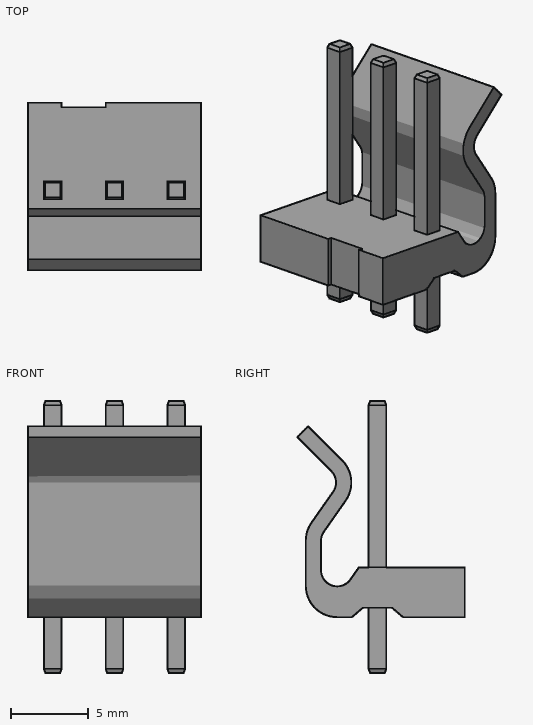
import cadquery as cq
import math

width = 11.12
back_y = 5.6
base_height = 3.2

channel_depth = 0.61
channel_roof_half = 0.92
channel_mouth_half = 1.64

notch_left = -3.39
notch_right = -0.58
notch_depth = 0.28

strip = 1.0
inner_radius = 1.03
outer_radius = inner_radius + strip
wall_front_y = -4.6
wall_top_z = 4.9
leg_length = 2.43
leg_angle = 35
tip_angle = 45
tip_front_y = -5.15
trough_bottom_z = 1.99

pin_count = 3
pin_pitch = 3.96
pin_side = 1.15
pin_length = 17.45
pin_bottom_z = -3.58
pin_end_height = 0.26
pin_end_inset = 0.1


def around(center, radius, degrees):
    """Point on a circle in the YZ plane, measured from +Y towards +Z."""
    angle = math.radians(degrees)
    return (center[0] + radius * math.cos(angle), center[1] + radius * math.sin(angle))


def make_housing():
    bend_y = wall_front_y + outer_radius
    lower_bend = (bend_y, wall_top_z)
    trough = (bend_y, trough_bottom_z + inner_radius)
    lower_end = 180 - leg_angle
    lower_mid = 180 - leg_angle / 2

    leg_start = around(lower_bend, outer_radius, lower_end)
    leg_end = around(leg_start, leg_length, 90 - leg_angle)
    upper_bend = around(leg_end, inner_radius, lower_end)
    upper_start = -leg_angle
    upper_mid = (tip_angle - leg_angle) / 2
    upper_end = tip_angle

    tip_start = around(upper_bend, inner_radius, upper_end)
    tip_length = (tip_start[0] - tip_front_y) / math.sin(math.radians(tip_angle))
    tip_front = around(tip_start, tip_length, 90 + tip_angle)
    tip_back = around(tip_front, strip, tip_angle)

    slope_end = around(trough, inner_radius, -leg_angle)
    slope_rise = base_height - slope_end[1]
    slope_top_y = slope_end[0] + slope_rise * math.tan(math.radians(leg_angle))

    profile = (
        cq.Workplane("YZ", origin=(-width / 2, 0, 0))
        .moveTo(back_y, 0)
        .lineTo(channel_mouth_half, 0)
        .lineTo(channel_roof_half, channel_depth)
        .lineTo(-channel_roof_half, channel_depth)
        .lineTo(-channel_mouth_half, 0)
        .lineTo(bend_y, 0)
        .threePointArc(around((bend_y, outer_radius), outer_radius, 225), (wall_front_y, outer_radius))
        .lineTo(wall_front_y, wall_top_z)
        .threePointArc(around(lower_bend, outer_radius, lower_mid), leg_start)
        .lineTo(*leg_end)
        .threePointArc(around(upper_bend, inner_radius, upper_mid), tip_start)
        .lineTo(*tip_front)
        .lineTo(*tip_back)
        .lineTo(*around(upper_bend, outer_radius, upper_end))
        .threePointArc(
            around(upper_bend, outer_radius, upper_mid),
            around(upper_bend, outer_radius, upper_start),
        )
        .lineTo(*around(lower_bend, inner_radius, lower_end))
        .threePointArc(
            around(lower_bend, inner_radius, lower_mid),
            around(lower_bend, inner_radius, 180),
        )
        .lineTo(*around(trough, inner_radius, 180))
        .threePointArc(around(trough, inner_radius, 270), slope_end)
        .lineTo(slope_top_y, base_height)
        .lineTo(back_y, base_height)
        .close()
    )
    return profile.extrude(width)


def make_notch():
    return cq.Workplane("XY").box(
        notch_right - notch_left, notch_depth, base_height, centered=False
    ).translate((notch_left, back_y - notch_depth, 0))


def make_pin(x):
    """Square pin with a tapered frustum at each end."""
    tip_side = pin_side - 2 * pin_end_inset
    shank_length = pin_length - 2 * pin_end_height
    shank_bottom_z = pin_bottom_z + pin_end_height
    pin = (
        cq.Workplane("XY", origin=(x, 0, shank_bottom_z))
        .rect(pin_side, pin_side)
        .extrude(shank_length)
    )
    for end in ("<Z", ">Z"):
        taper = (
            pin.faces(end)
            .workplane()
            .rect(pin_side, pin_side)
            .workplane(offset=pin_end_height)
            .rect(tip_side, tip_side)
            .loft(combine=False)
        )
        pin = pin.union(taper)
    return pin


result = make_housing().cut(make_notch())
for index in range(pin_count):
    result = result.union(make_pin((index - (pin_count - 1) / 2) * pin_pitch))